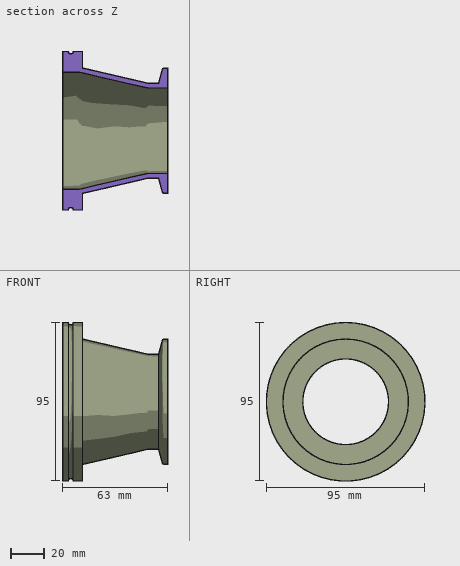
import cadquery as cq
import math

length = 63.0

flange_radius = 47.5
flange_thickness = 12.0
groove_start = 3.5
groove_width = 2.85
groove_depth = 1.4
groove_corner_radius = 1.3
groove_end = groove_start + groove_width
groove_floor_radius = flange_radius - groove_depth
groove_corner_centre_radius = groove_floor_radius + groove_corner_radius

small_flange_radius = 37.4
small_flange_rim_start = 60.6
small_flange_taper = math.radians(15)
small_flange_edge_radius = 1.0

large_bore_radius = 35.0
small_bore_radius = 25.6
wall = 2.9
neck_radius = small_bore_radius + wall
large_bend_start = 8.8
small_bend_end = 51.5
large_bend_inner_radius = 11.9
neck_bend_outer_radius = 4.4
neck_bend_inner_radius = neck_bend_outer_radius + wall

bend_radii = large_bend_inner_radius + neck_bend_inner_radius
bore_step = large_bore_radius - small_bore_radius
bend_span = small_bend_end - large_bend_start
discriminant = bend_span**2 - bore_step * (2 * bend_radii - bore_step)
half_angle_tangent = bore_step / (bend_span + math.sqrt(discriminant))
cone_angle = 2 * math.atan(half_angle_tangent)


def groove_corner(wall_position, inward, angle):
    """Point on a groove floor corner; inward is +1 or -1 along X, angle runs from wall to floor."""
    return (
        wall_position + inward * groove_corner_radius * (1 - math.cos(angle)),
        groove_corner_centre_radius - groove_corner_radius * math.sin(angle),
    )


def bend_from_large_bore(angle):
    """Point on the bore after turning inward from the large straight bore."""
    return (
        large_bend_start + large_bend_inner_radius * math.sin(angle),
        large_bore_radius - large_bend_inner_radius * (1 - math.cos(angle)),
    )


def bend_into_neck(bend_radius, end_radius, angle):
    """Point on a bend that runs out tangent to the straight neck."""
    return (
        small_bend_end - bend_radius * math.sin(angle),
        end_radius + bend_radius * (1 - math.cos(angle)),
    )


def small_flange_edge(angle):
    """Point on the rounded rim edge, with the angle measured from the radial direction."""
    return (
        small_flange_rim_start - small_flange_edge_radius * math.sin(angle),
        small_flange_radius - small_flange_edge_radius * (1 - math.cos(angle)),
    )


neck_bend_start = bend_into_neck(neck_bend_outer_radius, neck_radius, cone_angle)
cone_root_radius = neck_bend_start[1] + (neck_bend_start[0] - flange_thickness) * math.tan(cone_angle)

edge_angle = math.pi / 2 - small_flange_taper
edge_start = small_flange_edge(edge_angle)
taper_start = edge_start[0] - (edge_start[1] - neck_radius) * math.tan(small_flange_taper)

profile = (
    cq.Workplane("XZ")
    .moveTo(0, large_bore_radius)
    .lineTo(0, flange_radius)
    .lineTo(groove_start, flange_radius)
    .lineTo(groove_start, groove_corner_centre_radius)
    .threePointArc(groove_corner(groove_start, 1, math.pi / 4), groove_corner(groove_start, 1, math.pi / 2))
    .lineTo(*groove_corner(groove_end, -1, math.pi / 2))
    .threePointArc(groove_corner(groove_end, -1, math.pi / 4), (groove_end, groove_corner_centre_radius))
    .lineTo(groove_end, flange_radius)
    .lineTo(flange_thickness, flange_radius)
    .lineTo(flange_thickness, cone_root_radius)
    .lineTo(*neck_bend_start)
    .threePointArc(
        bend_into_neck(neck_bend_outer_radius, neck_radius, cone_angle / 2),
        (small_bend_end, neck_radius),
    )
    .lineTo(taper_start, neck_radius)
    .lineTo(*edge_start)
    .threePointArc(small_flange_edge(edge_angle / 2), (small_flange_rim_start, small_flange_radius))
    .lineTo(length, small_flange_radius)
    .lineTo(length, small_bore_radius)
    .lineTo(small_bend_end, small_bore_radius)
    .threePointArc(
        bend_into_neck(neck_bend_inner_radius, small_bore_radius, cone_angle / 2),
        bend_into_neck(neck_bend_inner_radius, small_bore_radius, cone_angle),
    )
    .lineTo(*bend_from_large_bore(cone_angle))
    .threePointArc(bend_from_large_bore(cone_angle / 2), (large_bend_start, large_bore_radius))
    .close()
)
result = profile.revolve(360, (0, 0, 0), (1, 0, 0))